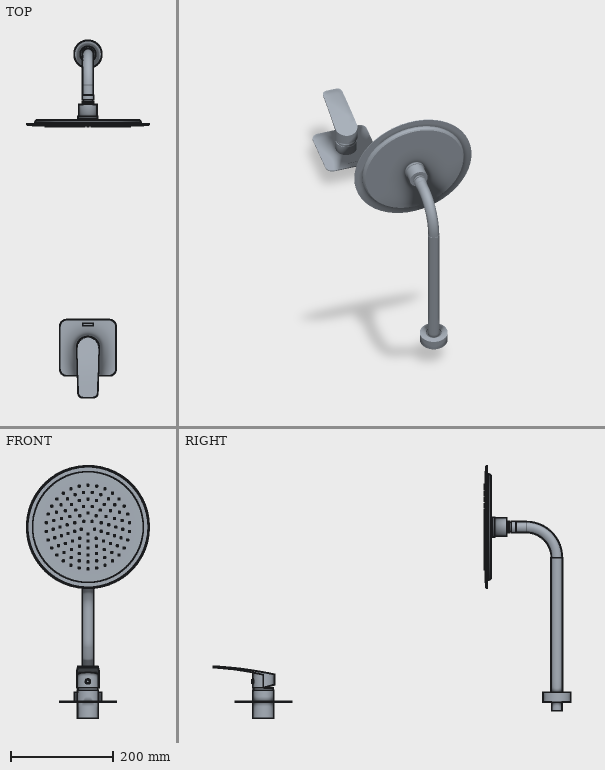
import cadquery as cq
import math


RISER_DIA = 23.0
TUBE_DIA = 22.0
BEND_RADIUS = 60.0
RISER_TOP_Z = 283.0
ARM_END_Y = -79.0
NIPPLE_DIA = 20.0
NIPPLE_BOTTOM_Z = -17.0

FLANGE_DIA = 54.5
FLANGE_HEIGHT = 19.5
FLANGE_RECESS_DIA = 31.0
FLANGE_RECESS_DEPTH = 3.0

NECK_DIA = 23.0
NECK_GROOVE_DIA = 19.0
NECK_SHOULDER_Y = -89.5
NECK_RIDGE_Y = -93.0
NECK_RIDGE_WIDTH = 2.0
NECK_CHAMFER = 1.5

COLLAR_DIA = 36.5
COLLAR_RIM_DIA = 39.0
COLLAR_BACK_Y = -98.0
COLLAR_RIM_WIDTH = 4.0
COLLAR_RIM_SETBACK = 2.0

HEAD_DIA = 240.0
HEAD_BACK_Y = -128.0
HEAD_RIM_BACK_Y = -136.0
HEAD_FACE_Y = -140.0
HEAD_BACK_DIA = 204.0
HEAD_FOOT_DIA = 208.5
HEAD_FOOT_HEIGHT = 1.5
HEAD_BACK_CHAMFER = 2.0
RIM_EDGE_Y = -137.0
HEAD_FRONT_DIA = 236.0
FACE_DIA = 217.0
FACE_RAISE = 1.0

NOZZLE_DIA = 3.5
NOZZLE_HEIGHT = 2.0
NOZZLE_HOLE_DIA = 1.0
NOZZLE_RINGS = 6
OUTER_RING_RADIUS = 82.0
NOZZLES_PER_RING_STEP = 5

MIXER_Y = -574.5
MIXER_DIA = 41.0
MIXER_BOTTOM_Z = -31.5
MIXER_TOP_Z = 23.0
MIXER_NECK_DIA = 39.0
HANDLE_BOTTOM_Z = 28.0

PLATE_SIDE = 110.5
PLATE_THICKNESS = 2.0
PLATE_CORNER_RADIUS = 14.0
SLOT_LENGTH = 21.0
SLOT_WIDTH = 4.0
SLOT_DEPTH = 1.0
SLOT_OFFSET = 45.5

HANDLE_BACK_DIA = 44.0
HANDLE_FRONT_DIA = 41.0
HANDLE_BACK_LIFT = 6.0
LEVER_TIP_Y = -672.5
LEVER_TIP_WIDTH = 39.0
LEVER_TIP_ROUNDING = 10.0
LEVER_BACK_THICKNESS = 7.0
LEVER_MID_THICKNESS = 3.5
LEVER_TIP_THICKNESS = 3.0
LEVER_BACK_Z = 54.5
LEVER_MID_Z = 65.0
LEVER_TIP_Z = 71.0
SCREW_HOLE_DIA = 10.0
SCREW_HOLE_DEPTH = 2.0
SCREW_DIA = 6.8
SCREW_REACH = 2.0
SCREW_Z = 40.5

HEAD_AXIS_Z = RISER_TOP_Z + BEND_RADIUS
HANDLE_BACK_RADIUS = HANDLE_BACK_DIA / 2
HANDLE_BACK_Y = MIXER_Y + HANDLE_BACK_RADIUS


def cylinder_y(dia, y_back, y_front, z=HEAD_AXIS_Z):
    """Cylinder along -Y from y_back to y_front at height z."""
    plane = cq.Plane(origin=(0, y_back, z), xDir=(1, 0, 0), normal=(0, -1, 0))
    return cq.Workplane(plane).circle(dia / 2).extrude(y_back - y_front)


def cylinder_z(dia, z_bottom, z_top, y=0.0):
    """Upright cylinder between two heights."""
    return cq.Workplane("XY", origin=(0, y, z_bottom)).circle(dia / 2).extrude(z_top - z_bottom)


def make_arm():
    """Riser, quarter bend and short horizontal tube in one piece, with a nipple below."""
    nipple = cylinder_z(NIPPLE_DIA, NIPPLE_BOTTOM_Z, 0)
    riser = cylinder_z(RISER_DIA, 0, RISER_TOP_Z)
    path = (
        cq.Workplane("YZ")
        .moveTo(0, RISER_TOP_Z)
        .radiusArc((-BEND_RADIUS, HEAD_AXIS_Z), -BEND_RADIUS)
    )
    bend = cq.Workplane("XY", origin=(0, 0, RISER_TOP_Z)).circle(TUBE_DIA / 2).sweep(path)
    tube = cylinder_y(TUBE_DIA, -BEND_RADIUS, ARM_END_Y)
    return nipple.union(riser).union(bend).union(tube)


def make_flange():
    """Round flange the riser passes through, with a shallow recess around the riser."""
    flange = cylinder_z(FLANGE_DIA, 0, FLANGE_HEIGHT)
    recess = cylinder_z(FLANGE_RECESS_DIA, FLANGE_HEIGHT - FLANGE_RECESS_DEPTH, FLANGE_HEIGHT)
    return flange.cut(recess).cut(cylinder_z(RISER_DIA, 0, FLANGE_HEIGHT))


def make_neck():
    """Swivel neck: chamfered shoulder, slim core and a thin ridge."""
    shoulder = cylinder_y(NECK_DIA, ARM_END_Y, NECK_SHOULDER_Y).edges(">Y").chamfer(NECK_CHAMFER)
    core = cylinder_y(NECK_GROOVE_DIA, NECK_SHOULDER_Y, COLLAR_BACK_Y)
    ridge = cylinder_y(NECK_DIA, NECK_RIDGE_Y, NECK_RIDGE_Y - NECK_RIDGE_WIDTH)
    return shoulder.union(core).union(ridge)


def make_collar():
    """Collar behind the head with a slightly wider rim near the head."""
    rim_back_y = HEAD_BACK_Y + COLLAR_RIM_SETBACK + COLLAR_RIM_WIDTH
    collar = cylinder_y(COLLAR_DIA, COLLAR_BACK_Y, HEAD_BACK_Y)
    return collar.union(cylinder_y(COLLAR_RIM_DIA, rim_back_y, rim_back_y - COLLAR_RIM_WIDTH))


def nozzle_points():
    """Nozzle centres: ring n holds 5n nozzles, each ring with one nozzle straight below the centre."""
    points = []
    for ring in range(1, NOZZLE_RINGS + 1):
        count = NOZZLES_PER_RING_STEP * ring
        for index in range(count):
            angle = 2 * math.pi * index / count - math.pi / 2
            radius = OUTER_RING_RADIUS * ring / NOZZLE_RINGS
            points.append((radius * math.cos(angle), radius * math.sin(angle)))
    return points


def make_head():
    """Thin round head turned about its axis, with a raised face and rings of nozzles."""
    body_y = HEAD_FACE_Y + FACE_RAISE
    profile = [
        (0, HEAD_BACK_Y),
        (HEAD_BACK_DIA / 2 - HEAD_BACK_CHAMFER, HEAD_BACK_Y),
        (HEAD_BACK_DIA / 2, HEAD_BACK_Y - HEAD_BACK_CHAMFER),
        (HEAD_FOOT_DIA / 2, HEAD_RIM_BACK_Y + HEAD_FOOT_HEIGHT),
        (HEAD_FOOT_DIA / 2, HEAD_RIM_BACK_Y),
        (HEAD_DIA / 2, HEAD_RIM_BACK_Y),
        (HEAD_DIA / 2, RIM_EDGE_Y),
        (HEAD_FRONT_DIA / 2, body_y),
        (FACE_DIA / 2, body_y),
        (FACE_DIA / 2, HEAD_FACE_Y),
        (0, HEAD_FACE_Y),
    ]
    head = (
        cq.Workplane("XY", origin=(0, 0, HEAD_AXIS_Z))
        .polyline(profile)
        .close()
        .revolve(360, (0, 0, 0), (0, 1, 0))
    )
    face = cq.Plane(origin=(0, HEAD_FACE_Y, HEAD_AXIS_Z), xDir=(1, 0, 0), normal=(0, -1, 0))
    nozzles = (
        cq.Workplane(face)
        .pushPoints(nozzle_points())
        .circle(NOZZLE_DIA / 2)
        .circle(NOZZLE_HOLE_DIA / 2)
        .extrude(NOZZLE_HEIGHT)
    )
    return head.union(nozzles)


def make_plate():
    """Square mixer plate with rounded corners and a shallow slot, bored for the mixer body."""
    plate = (
        cq.Workplane("XY", origin=(0, MIXER_Y, 0))
        .rect(PLATE_SIDE, PLATE_SIDE)
        .extrude(PLATE_THICKNESS)
        .edges("|Z")
        .fillet(PLATE_CORNER_RADIUS)
    )
    slot = (
        cq.Workplane("XY", origin=(0, MIXER_Y + SLOT_OFFSET, PLATE_THICKNESS - SLOT_DEPTH))
        .rect(SLOT_LENGTH, SLOT_WIDTH)
        .extrude(SLOT_DEPTH)
    )
    return plate.cut(slot).cut(cylinder_z(MIXER_DIA, 0, PLATE_THICKNESS, MIXER_Y))


def make_mixer_body():
    """Cylindrical mixer body with a slimmer neck that reaches up to the handle."""
    body = cylinder_z(MIXER_DIA, MIXER_BOTTOM_Z, MIXER_TOP_Z, MIXER_Y)
    return body.union(cylinder_z(MIXER_NECK_DIA, MIXER_TOP_Z, HANDLE_BOTTOM_Z, MIXER_Y))


def lever_outline():
    """Plan outline of the lever: round at the back, tapering to a tip with rounded corners."""
    half_tip = LEVER_TIP_WIDTH / 2
    round_y = LEVER_TIP_Y + LEVER_TIP_ROUNDING
    return (
        cq.Workplane("XY")
        .moveTo(-HANDLE_BACK_RADIUS, MIXER_Y)
        .threePointArc((0, HANDLE_BACK_Y), (HANDLE_BACK_RADIUS, MIXER_Y))
        .lineTo(half_tip, round_y)
        .radiusArc((half_tip - LEVER_TIP_ROUNDING, LEVER_TIP_Y), LEVER_TIP_ROUNDING)
        .lineTo(LEVER_TIP_ROUNDING - half_tip, LEVER_TIP_Y)
        .radiusArc((-half_tip, round_y), LEVER_TIP_ROUNDING)
        .close()
    )


def handle_side(back_z, mid_z, tip_z):
    """Side profile across the full width: below an arc through three heights, above the neck."""
    mid_y = (HANDLE_BACK_Y + LEVER_TIP_Y) / 2
    return (
        cq.Workplane("YZ", origin=(-HANDLE_BACK_RADIUS, 0, 0))
        .moveTo(HANDLE_BACK_Y, back_z)
        .threePointArc((mid_y, mid_z), (LEVER_TIP_Y, tip_z))
        .lineTo(LEVER_TIP_Y, HANDLE_BOTTOM_Z)
        .lineTo(MIXER_Y, HANDLE_BOTTOM_Z)
        .lineTo(HANDLE_BACK_Y, HANDLE_BOTTOM_Z + HANDLE_BACK_LIFT)
        .close()
        .extrude(HANDLE_BACK_DIA)
    )


def make_handle():
    """Curved lever on a stem, whose back half is wider than its front half, with a screw in front."""
    below_top = handle_side(LEVER_BACK_Z, LEVER_MID_Z, LEVER_TIP_Z)
    below_lever = handle_side(
        LEVER_BACK_Z - LEVER_BACK_THICKNESS,
        LEVER_MID_Z - LEVER_MID_THICKNESS,
        LEVER_TIP_Z - LEVER_TIP_THICKNESS,
    )
    lever = lever_outline().extrude(LEVER_TIP_Z).intersect(below_top.cut(below_lever))

    back_stem = (
        cq.Workplane("XY")
        .moveTo(-HANDLE_BACK_RADIUS, MIXER_Y)
        .threePointArc((0, HANDLE_BACK_Y), (HANDLE_BACK_RADIUS, MIXER_Y))
        .close()
        .extrude(LEVER_TIP_Z)
    )
    front_stem = cylinder_z(HANDLE_FRONT_DIA, 0, LEVER_TIP_Z, MIXER_Y)
    stem = back_stem.union(front_stem).intersect(below_lever)

    stem_front_y = MIXER_Y - HANDLE_FRONT_DIA / 2
    hole_back_y = stem_front_y + SCREW_HOLE_DEPTH
    screw_hole = cylinder_y(SCREW_HOLE_DIA, hole_back_y, stem_front_y, z=SCREW_Z)
    screw = cylinder_y(SCREW_DIA, MIXER_Y, stem_front_y - SCREW_REACH, z=SCREW_Z)
    return lever.union(stem).cut(screw_hole).union(screw)


arm = make_arm()
flange = make_flange()
neck = make_neck()
collar = make_collar()
head = make_head()
plate = make_plate()
mixer_body = make_mixer_body()
handle = make_handle()

result = cq.Compound.makeCompound(
    [
        arm.val(),
        flange.val(),
        neck.val(),
        collar.val(),
        head.val(),
        plate.val(),
        mixer_body.val(),
        handle.val(),
    ]
)